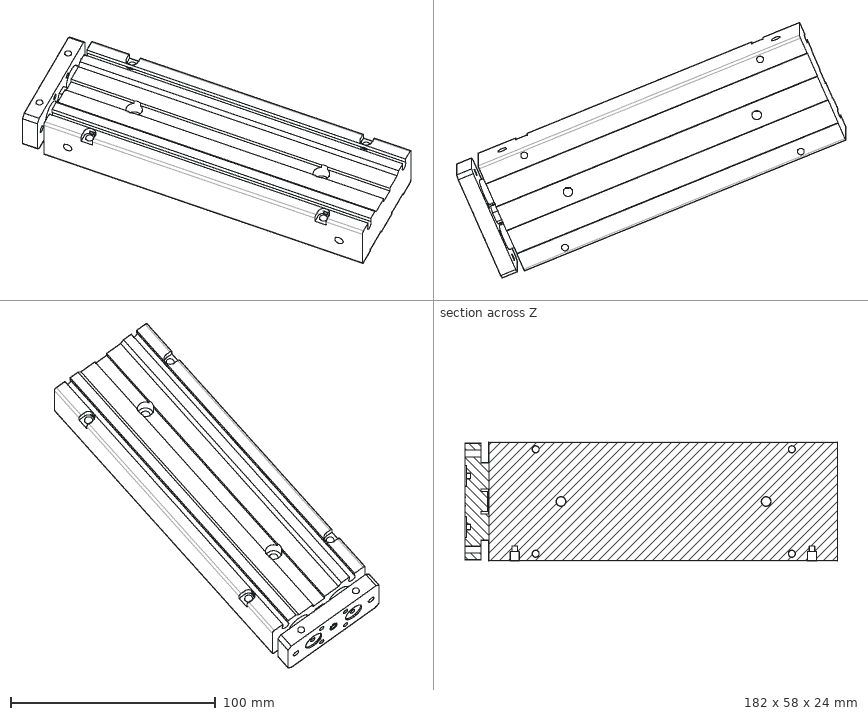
import cadquery as cq

total_length = 182.0
housing_start = 11.6
housing_length = total_length - housing_start
housing_width = 58.0
housing_height = 24.0
housing_fillet = 1.3
top = housing_height / 2

step_half_width = 14.2
step_depth = 1.8
centre_groove_width = 7.3
centre_groove_depth = 2.0
centre_groove_floor = top - step_depth - centre_groove_depth
sensor_groove_y = 20.7
sensor_groove_diameter = 4.0
sensor_groove_centre_depth = 3.5
sensor_groove_mouth = 3.3
foot_recess_inner = 6.5
foot_recess_outer = 19.3
foot_recess_depth = 1.0

centre_hole_first_x = 47.0
centre_hole_pitch = 100.1
centre_hole_diameter = 4.5
centre_counterbore_diameter = 8.0
centre_counterbore_depth = 6.4
corner_hole_first_x = 34.5
corner_hole_pitch = 125.0
corner_hole_y = 25.5
corner_hole_diameter = 3.8
corner_hole_depth = 7.3
corner_passage_diameter = 3.3
corner_pocket_width = 6.0
corner_pocket_depth = 3.6
port_first_x = 24.4
port_pitch = 145.0
port_diameter = 4.4
port_depth = 4.5
port_passage_diameter = 2.5
port_passage_depth = 7.3

plate_thickness = 8.0
plate_width = 57.0
plate_height = 23.0
plate_chamfer = 2.0
rod_diameter = 13.0
rod_pitch = 25.0
rod_y = rod_pitch / 2
rod_recess_diameter = 10.0
rod_recess_depth = 0.7
rod_socket_diameter = 2.5
rod_socket_depth = 2.7
plate_side_hole_y = 23.5
plate_side_hole_diameter = 3.3
plate_screw_hole_y = 7.5
plate_screw_hole_z = 7.1
plate_screw_hole_diameter = 2.5
plate_top_hole_y = 17.1
plate_top_hole_diameter = 3.3
plate_top_hole_depth = 7.3
stop_bolt_corner_diameter = 9.8
stop_bolt_clearance = 0.4
stop_bolt_tip_diameter = 4.4
stop_bolt_tip_chamfer = 0.5


def cylinder_along(axis, diameter, length, start):
    """Cylinder from the point `start` along the direction `axis`."""
    return cq.Workplane(cq.Solid.makeCylinder(diameter / 2, length, cq.Vector(*start), cq.Vector(*axis)))


def lengthwise_bar(y_min, y_max, z_min, z_max):
    """Rectangular bar over the whole length of the housing."""
    return cq.Workplane("XY").box(
        housing_length, y_max - y_min, z_max - z_min, centered=False
    ).translate((housing_start, y_min, z_min))


def housing_blank():
    return (
        cq.Workplane("XY")
        .box(housing_length, housing_width, housing_height)
        .translate((housing_start + housing_length / 2, 0, 0))
        .edges("|X")
        .fillet(housing_fillet)
    )


def top_step():
    """Shallow tray along the top with 45 degree flanks."""
    floor_half_width = step_half_width - step_depth
    return (
        cq.Workplane("YZ", origin=(housing_start, 0, 0))
        .moveTo(-step_half_width, top)
        .lineTo(step_half_width, top)
        .lineTo(floor_half_width, top - step_depth)
        .lineTo(-floor_half_width, top - step_depth)
        .close()
        .extrude(housing_length)
    )


def sensor_groove(side):
    """Round channel that opens upward through a narrower mouth."""
    y = side * sensor_groove_y
    z = top - sensor_groove_centre_depth
    channel = cylinder_along((1, 0, 0), sensor_groove_diameter, housing_length, (housing_start, y, z))
    mouth = lengthwise_bar(y - sensor_groove_mouth / 2, y + sensor_groove_mouth / 2, z, top)
    return channel.union(mouth)


def foot_recess(side):
    inner, outer = sorted((side * foot_recess_inner, side * foot_recess_outer))
    return lengthwise_bar(inner, outer, -top, -top + foot_recess_depth)


def centre_hole(x):
    """Counterbored through hole on the centreline."""
    seat = centre_groove_floor - centre_counterbore_depth
    hole = cylinder_along((0, 0, 1), centre_hole_diameter, housing_height, (x, 0, -top))
    return hole.union(cylinder_along((0, 0, 1), centre_counterbore_diameter, top - seat, (x, 0, seat)))


def corner_hole(x, side):
    """Stepped through hole below a U-shaped pocket that is open to the side face."""
    y = side * corner_hole_y
    seat = top - corner_pocket_depth
    pocket_length = housing_width / 2 - corner_hole_y
    passage = cylinder_along((0, 0, 1), corner_passage_diameter, housing_height, (x, y, -top))
    hole = cylinder_along((0, 0, -1), corner_hole_diameter, corner_hole_depth, (x, y, seat))
    round_end = cylinder_along((0, 0, 1), corner_pocket_width, corner_pocket_depth, (x, y, seat))
    open_end = cq.Workplane("XY").box(corner_pocket_width, pocket_length, corner_pocket_depth).translate(
        (x, y + side * pocket_length / 2, seat + corner_pocket_depth / 2)
    )
    return passage.union(hole).union(round_end).union(open_end)


def air_port(x):
    """Stepped blind port in the -Y side face."""
    face = (x, -housing_width / 2, 0)
    mouth = cylinder_along((0, 1, 0), port_diameter, port_depth, face)
    return mouth.union(cylinder_along((0, 1, 0), port_passage_diameter, port_passage_depth, face))


def build_housing():
    housing = housing_blank().cut(top_step())
    housing = housing.cut(
        lengthwise_bar(-centre_groove_width / 2, centre_groove_width / 2, centre_groove_floor, top)
    )
    for side in (-1, 1):
        housing = housing.cut(sensor_groove(side)).cut(foot_recess(side))
    for index in range(2):
        housing = housing.cut(centre_hole(centre_hole_first_x + index * centre_hole_pitch))
        housing = housing.cut(air_port(port_first_x + index * port_pitch))
        for side in (-1, 1):
            housing = housing.cut(corner_hole(corner_hole_first_x + index * corner_hole_pitch, side))
    return housing


def plate_blank():
    return (
        cq.Workplane("XY")
        .box(plate_thickness, plate_width, plate_height)
        .translate((plate_thickness / 2, 0, 0))
        .edges("|X")
        .chamfer(plate_chamfer)
    )


def rod(side):
    """Rod from the plate to the front face of the housing."""
    return cylinder_along(
        (1, 0, 0), rod_diameter, housing_start - plate_thickness, (plate_thickness, side * rod_y, 0)
    )


def rod_end_recess(side):
    """Shallow round recess with a small socket, on the axis of the rod."""
    face = (0, side * rod_y, 0)
    recess = cylinder_along((1, 0, 0), rod_recess_diameter, rod_recess_depth, face)
    return recess.union(cylinder_along((1, 0, 0), rod_socket_diameter, rod_socket_depth, face))


def stop_bolt_head():
    """Hexagonal head behind the plate, corners pointing along Y."""
    return (
        cq.Workplane("YZ", origin=(plate_thickness, 0, 0))
        .polygon(6, stop_bolt_corner_diameter)
        .extrude(housing_start - plate_thickness - stop_bolt_clearance)
    )


def stop_bolt_tip_gap():
    """V-shaped ring left around the chamfered tip of the stop bolt."""
    radius = stop_bolt_tip_diameter / 2
    tip = cq.Workplane(
        cq.Solid.makeCone(
            radius - stop_bolt_tip_chamfer,
            radius,
            stop_bolt_tip_chamfer,
            cq.Vector(0, 0, 0),
            cq.Vector(1, 0, 0),
        )
    )
    return cylinder_along((1, 0, 0), stop_bolt_tip_diameter, stop_bolt_tip_chamfer, (0, 0, 0)).cut(tip)


def plate_holes(side):
    """Holes of one half of the plate: side hole, two screw holes and a blind hole from above."""
    x_axis = (1, 0, 0)
    holes = cylinder_along(
        x_axis, plate_side_hole_diameter, plate_thickness, (0, side * plate_side_hole_y, 0)
    )
    for z in (-plate_screw_hole_z, plate_screw_hole_z):
        holes = holes.union(
            cylinder_along(
                x_axis, plate_screw_hole_diameter, plate_thickness, (0, side * plate_screw_hole_y, z)
            )
        )
    plate_top = (plate_thickness / 2, side * plate_top_hole_y, plate_height / 2)
    return holes.union(
        cylinder_along((0, 0, -1), plate_top_hole_diameter, plate_top_hole_depth, plate_top)
    )


def build_rod_assembly():
    assembly = plate_blank().union(stop_bolt_head()).cut(stop_bolt_tip_gap())
    for side in (-1, 1):
        assembly = assembly.union(rod(side)).cut(rod_end_recess(side)).cut(plate_holes(side))
    return assembly


housing = build_housing()
rod_assembly = build_rod_assembly()

result = cq.Compound.makeCompound([housing.val(), rod_assembly.val()])